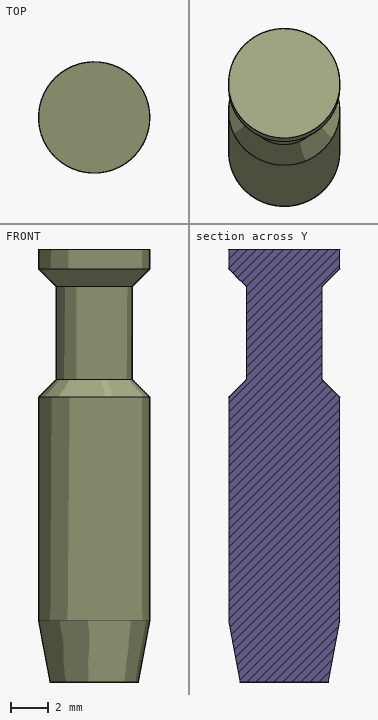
import cadquery as cq
import math

total_length = 23.3
body_diameter = 6.0
neck_diameter = 4.1
head_length = 2.0
neck_length = 5.0
shoulder_angle = 45.0
tip_length = 3.33
tip_diameter = 4.75

body_radius = body_diameter / 2
neck_radius = neck_diameter / 2
tip_radius = tip_diameter / 2

shoulder_height = (body_radius - neck_radius) / math.tan(math.radians(shoulder_angle))
neck_top = total_length - head_length
rim_bottom = neck_top + shoulder_height
neck_bottom = neck_top - neck_length
body_top = neck_bottom - shoulder_height


def turned_pin():
    """Revolve the half profile (radius, height) about the Z axis."""
    profile = (
        cq.Workplane("XZ")
        .polyline([
            (0, 0),
            (tip_radius, 0),
            (body_radius, tip_length),
            (body_radius, body_top),
            (neck_radius, neck_bottom),
            (neck_radius, neck_top),
            (body_radius, rim_bottom),
            (body_radius, total_length),
            (0, total_length),
        ])
        .close()
    )
    return profile.revolve(360, (0, 0), (0, 1))


result = turned_pin()